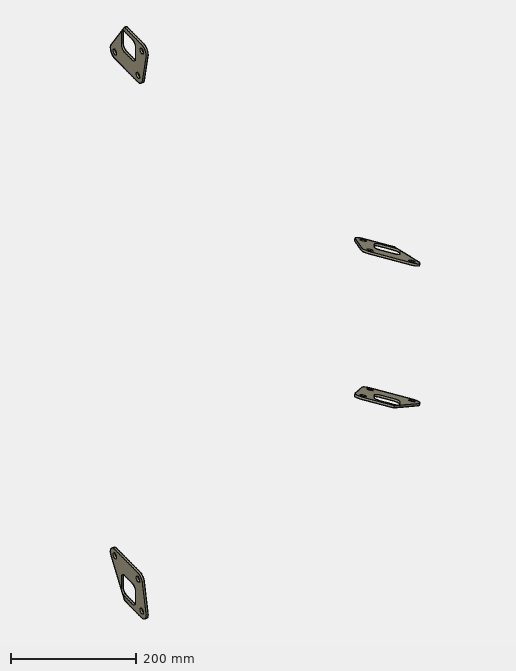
import cadquery as cq
import math

plate_width = 108.0
plate_height = 85.0
plate_thickness = 4.0
overall_height = 1184.0

lobe_diameter = 27.0
lobe_radius = lobe_diameter / 2
hole_diameter = 10.2
heel_hole_x = 83.0

window_size = 43.0
window_corner_radius = 10.1
window_center_x = 55.0
window_margin = 8.9

shoulder_x = 43.0

tip_hole = (lobe_radius, lobe_radius)
heel_hole = (heel_hole_x, lobe_radius)
toe_hole = (plate_width - lobe_radius, plate_height - lobe_radius)
shoulder = (shoulder_x, plate_height)


def lobe_point(center, angle):
    """Point on a lobe arc at the given angle in radians."""
    return (
        center[0] + lobe_radius * math.cos(angle),
        center[1] + lobe_radius * math.sin(angle),
    )


def plate_outline():
    """Four-sided outline with three tangent lobes and one sharp shoulder."""
    down = -math.pi / 2
    up = math.pi / 2

    right_normal = math.atan2(toe_hole[1] - heel_hole[1], toe_hole[0] - heel_hole[0]) - up

    rise = shoulder[1] - tip_hole[1]
    run = shoulder[0] - tip_hole[0]
    left_normal = math.atan2(rise, run) + math.acos(lobe_radius / math.hypot(rise, run))

    return (
        cq.Workplane("XZ")
        .moveTo(*lobe_point(tip_hole, down))
        .lineTo(*lobe_point(heel_hole, down))
        .threePointArc(
            lobe_point(heel_hole, (down + right_normal) / 2),
            lobe_point(heel_hole, right_normal),
        )
        .lineTo(*lobe_point(toe_hole, right_normal))
        .threePointArc(
            lobe_point(toe_hole, (right_normal + up) / 2),
            lobe_point(toe_hole, up),
        )
        .lineTo(*shoulder)
        .lineTo(*lobe_point(tip_hole, left_normal))
        .threePointArc(
            lobe_point(tip_hole, (left_normal + down + 2 * math.pi) / 2),
            lobe_point(tip_hole, down),
        )
        .close()
    )


def window_cutter():
    """Rounded square opening through the plate."""
    center_z = plate_height - window_margin - window_size / 2
    return (
        cq.Workplane("XZ")
        .center(window_center_x, center_z)
        .rect(window_size, window_size)
        .extrude(plate_thickness)
        .edges("|Y")
        .fillet(window_corner_radius)
    )


def bolt_hole_cutters():
    """Three through holes at the lobe centers."""
    return (
        cq.Workplane("XZ")
        .pushPoints([tip_hole, heel_hole, toe_hole])
        .circle(hole_diameter / 2)
        .extrude(plate_thickness)
    )


def flange_plate():
    """Plate with its outer edge at half the overall height, centered on X and Y."""
    plate = plate_outline().extrude(plate_thickness)
    plate = plate.cut(window_cutter()).cut(bolt_hole_cutters())
    return plate.translate(
        (-plate_width / 2, plate_thickness / 2, overall_height / 2 - plate_height)
    )


upper_plate = flange_plate()
flange_plates = [upper_plate, upper_plate.mirror("XY")]

result = cq.Compound.makeCompound([plate.val() for plate in flange_plates])